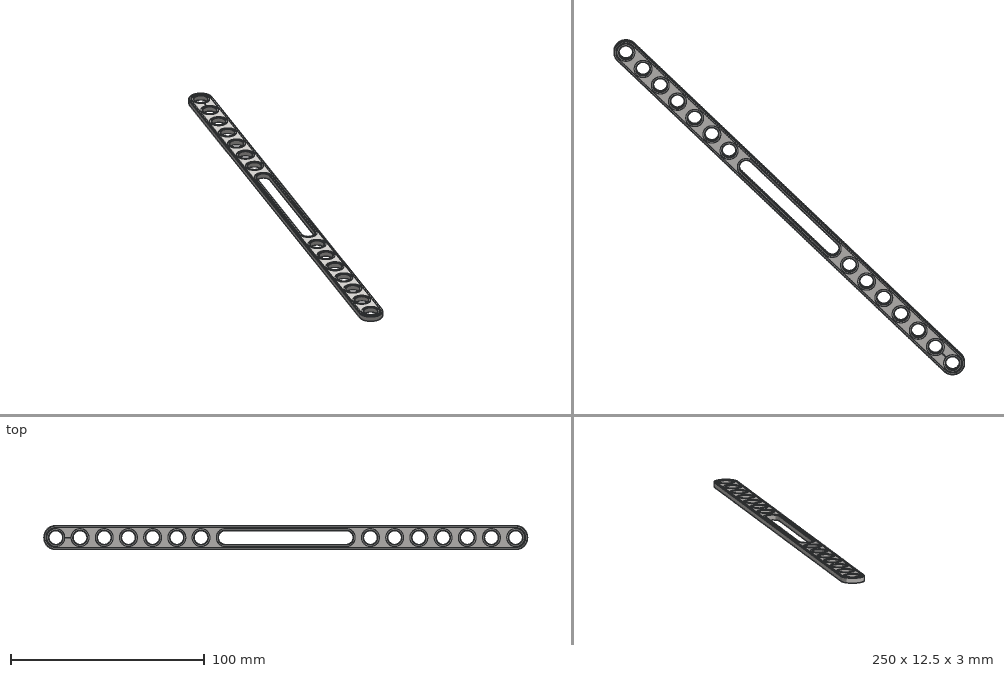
import cadquery as cq

length = 250.0
width = 12.5
thickness = 3.0
rim_width = 1.08
edge_chamfer = 0.3

pitch = width
holes_per_side = 7
hole_diameter = 7.0
boss_diameter = 9.2

recess_depth = 0.2
web_thickness = thickness - 2 * recess_depth
marker_rib_width = 0.3

end_hole_x = (length - width) / 2
innermost_hole_x = end_hole_x - (holes_per_side - 1) * pitch
slot_end_x = innermost_hole_x - pitch
hole_positions = [
    (side * (innermost_hole_x + index * pitch), 0)
    for side in (-1, 1)
    for index in range(holes_per_side)
]


def rounded_bar(bar_length, bar_width, height):
    """Round-ended bar centred on the origin."""
    return cq.Workplane("XY").slot2D(bar_length, bar_width).extrude(height / 2, both=True)


def holes_and_slot(diameter, bottom, height, taper=0):
    """Prisms on every hole centre and along the slot, rising from Z = bottom."""
    base = cq.Workplane("XY").workplane(offset=bottom)
    discs = base.pushPoints(hole_positions).circle(diameter / 2).extrude(height, taper=taper)
    slot = base.slot2D(2 * slot_end_x + diameter, diameter).extrude(height, taper=taper)
    return discs.union(slot)


def make_rimmed_bar():
    """Bar with chamfered outer edges, recessed inside its rim on both faces."""
    bar = rounded_bar(length, width, thickness)
    bar = bar.faces("|Z").edges().chamfer(edge_chamfer)
    inside_rim = rounded_bar(length - 2 * rim_width, width - 2 * rim_width, thickness)
    return bar.cut(inside_rim.cut(rounded_bar(length, width, web_thickness)))


def make_marker_rib():
    """Thin full-height rib joining the two bosses at the -X end."""
    rib = cq.Workplane("XY").box(pitch, marker_rib_width, thickness)
    return rib.translate((pitch / 2 - end_hole_x, 0, 0))


def make_openings():
    """Through holes and slot with 45 degree mouths on both faces."""
    through = holes_and_slot(hole_diameter, -thickness / 2, thickness)
    mouths = holes_and_slot(hole_diameter, thickness / 2 - edge_chamfer, edge_chamfer, taper=-45)
    return through.union(mouths).union(mouths.mirror("XY"))


bosses = holes_and_slot(boss_diameter, -thickness / 2, thickness)
raised = bosses.union(make_marker_rib())
result = make_rimmed_bar().union(raised).cut(make_openings()).clean()